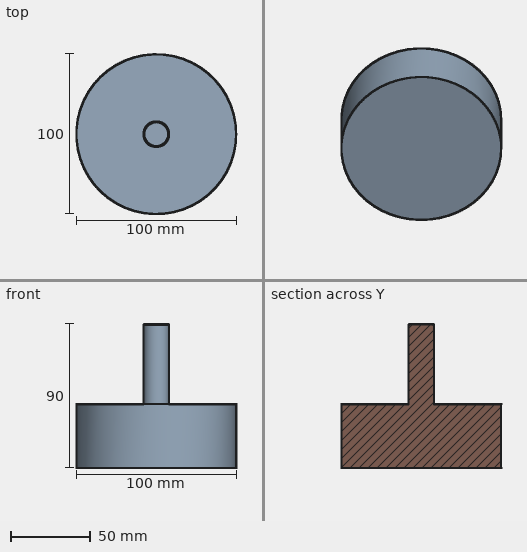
import cadquery as cq

disc_diameter = 100.0
disc_height = 40.0
stud_diameter = 16.0
stud_length = 50.0
tip_chamfer = 0.5

disc = cq.Workplane("XY").circle(disc_diameter / 2).extrude(disc_height)

stud = (
    cq.Workplane("XY")
    .workplane(offset=disc_height)
    .circle(stud_diameter / 2)
    .extrude(stud_length)
    .faces(">Z")
    .chamfer(tip_chamfer)
)

result = disc.union(stud)